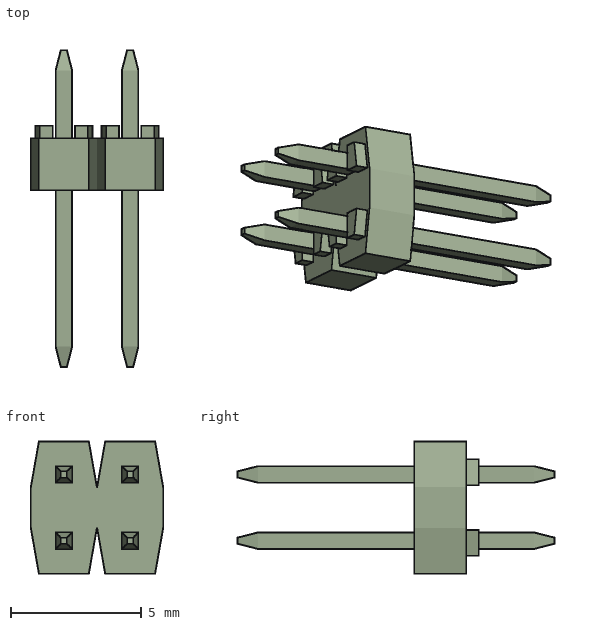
import cadquery as cq


pitch = 2.54
columns = 2
rows = 2

housing_depth = 2.0
housing_height = rows * pitch
end_inset = 0.31
straight_half_height = 0.785
lean_height = housing_height / 2 - straight_half_height

pin_width = 0.64
pin_length = 12.15
pin_rear_length = 3.38
tip_length = 0.78
tip_width = 0.24

foot_depth = 0.48
foot_z_inner = 0.855
foot_z_outer = 1.855
foot_inner_offset = 0.42
foot_outer_offset = 1.10
foot_lean = (foot_z_outer - foot_z_inner) * end_inset / lean_height


def centred_positions(count):
    """Pitch-spaced coordinates centred on zero."""
    return [(i - (count - 1) / 2) * pitch for i in range(count)]


def extrude_outline(points, depth):
    """Extrude an XZ outline from y = 0, towards -Y for a positive depth."""
    return cq.Workplane("XZ").polyline(points).close().extrude(depth)


def housing_cell(x):
    """One column of the housing: a block whose sides lean in at both ends."""
    half_width = pitch / 2
    end_half_width = half_width - end_inset
    top = housing_height / 2
    outline = [
        (x - half_width, -straight_half_height),
        (x - end_half_width, -top),
        (x + end_half_width, -top),
        (x + half_width, -straight_half_height),
        (x + half_width, straight_half_height),
        (x + end_half_width, top),
        (x - end_half_width, top),
        (x - half_width, straight_half_height),
    ]
    return extrude_outline(outline, housing_depth)


def foot(x, x_side, z_side):
    """One standoff foot; x_side and z_side are +1 or -1."""
    inner_x = x + x_side * foot_inner_offset
    wide_x = x + x_side * foot_outer_offset
    narrow_x = wide_x - x_side * foot_lean
    outline = [
        (inner_x, z_side * foot_z_inner),
        (wide_x, z_side * foot_z_inner),
        (narrow_x, z_side * foot_z_outer),
        (inner_x, z_side * foot_z_outer),
    ]
    return extrude_outline(outline, -foot_depth)


def pin_tip(x, z, base_y, end_y):
    """Tapered tip from the full pin section at base_y to the small end at end_y."""
    return (
        cq.Workplane("XZ", origin=(x, base_y, z))
        .rect(pin_width, pin_width)
        .workplane(offset=base_y - end_y)
        .rect(tip_width, tip_width)
        .loft(ruled=True)
    )


def pin(x, z):
    """Square pin with a tapered tip at each end."""
    rear_y = pin_rear_length
    front_y = rear_y - pin_length
    shank_rear_y = rear_y - tip_length
    shank_front_y = front_y + tip_length
    shank = (
        cq.Workplane("XZ", origin=(x, shank_rear_y, z))
        .rect(pin_width, pin_width)
        .extrude(shank_rear_y - shank_front_y)
    )
    rear_tip = pin_tip(x, z, shank_rear_y, rear_y)
    front_tip = pin_tip(x, z, shank_front_y, front_y)
    return shank.union(rear_tip).union(front_tip)


column_positions = centred_positions(columns)
row_positions = centred_positions(rows)

result = housing_cell(column_positions[0])
for column_x in column_positions[1:]:
    result = result.union(housing_cell(column_x))

for column_x in column_positions:
    for x_side in (-1, 1):
        for z_side in (-1, 1):
            result = result.union(foot(column_x, x_side, z_side))
    for row_z in row_positions:
        result = result.union(pin(column_x, row_z))